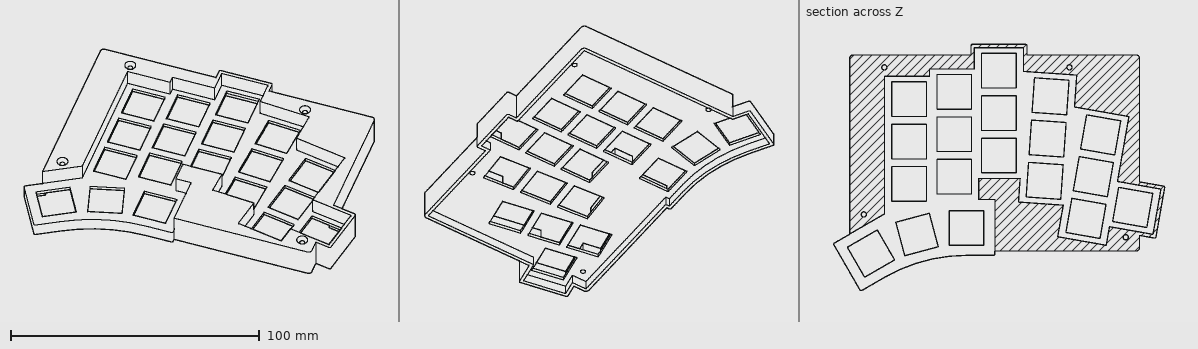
import cadquery as cq
import math

case_height = 12.5
deck_top = 5.6
deck_thickness = 1.5
wall = 1.5

case_width = 116.6
case_depth = 78.9
case_corner_radius = 1.5
small_corner_radius = 0.7

switch_size = 13.8
row_pitch = 17.0
well_width = 19.7
well_depth = 18.4

columns = [
    (24.0, 44.0, 0),
    (42.0, 47.0, 0),
    (60.0, 55.5, 0),
    (79.6, 45.3, -4),
    (98.0, 30.0, -10),
]
middle_column = columns[2]
outer_key = (113.8, 17.6, -10)
column_depth = 2 * row_pitch + well_depth
column_rows = [-row_pitch, 0, row_pitch]
gap_fill_width = 4.0
gap_fill_lift = 13.3

thumb_x = 47.0
thumb_y = 9.3
thumb_arc_radius = 76.8
thumb_step_angle = 15
thumb_fan_angle = 30
thumb_margin = 11.0
thumb_top_margin = 11.5
thumb_inner_end = 11.5
thumb_outer_end = 11.2

screw_positions = [(14.0, 73.9), (88.4, 73.9), (5.7, 14.8), (111.0, 5.6)]
screw_diameter = 2.0
countersink_diameter = 4.4
countersink_angle = 78


def block(width, depth, height, place, shift_x=0, shift_y=0):
    """Box standing on z = 0, shifted in its own frame, then turned and moved to place."""
    x, y, angle = place
    box = cq.Workplane("XY").box(width, depth, height, centered=(True, True, False))
    return box.translate((shift_x, shift_y, 0)).rotate((0, 0, 0), (0, 0, 1), angle).translate((x, y, 0))


def thumb_point(angle, radial, tangential=0):
    """Point by a thumb key: radial is outward from its centre, tangential is to its right."""
    a = math.radians(angle)
    radius = thumb_arc_radius + radial
    x = thumb_x - radius * math.sin(a) + tangential * math.cos(a)
    y = thumb_y - thumb_arc_radius + radius * math.cos(a) + tangential * math.sin(a)
    return x, y


def thumb_plate(height):
    """Fan-shaped plate with an arc below; its slanted upper edge bends up along the first column."""
    upper_left = thumb_point(thumb_fan_angle, thumb_margin, -thumb_outer_end)
    lower_left = thumb_point(thumb_fan_angle, -thumb_margin, -thumb_outer_end)
    lower_right = thumb_point(0, -thumb_margin, thumb_inner_end)
    upper_right = thumb_point(0, thumb_top_margin, thumb_inner_end)
    slope = math.tan(math.radians(thumb_fan_angle))
    bend_x = columns[0][0] - well_width / 2
    bend_y = upper_left[1] + (bend_x - upper_left[0]) * slope
    plate = (
        cq.Workplane("XY")
        .moveTo(*upper_left)
        .lineTo(*lower_left)
        .lineTo(*thumb_point(thumb_fan_angle, -thumb_margin))
        .threePointArc(thumb_point(thumb_fan_angle / 2, -thumb_margin), thumb_point(0, -thumb_margin))
        .lineTo(*lower_right)
        .lineTo(*upper_right)
        .lineTo(bend_x, upper_right[1])
        .lineTo(bend_x, bend_y)
        .close()
        .extrude(height)
    )
    for corner in (upper_left, lower_left, lower_right):
        corner_edge = cq.selectors.NearestToPointSelector((*corner, height / 2))
        plate = plate.edges("|Z").edges(corner_edge).fillet(small_corner_radius)
    return plate


def case_outline(height):
    """Case block with the two walled tabs that stick out around the keys."""
    case = cq.Workplane("XY").box(case_width, case_depth, height, centered=False)
    case = case.edges("|Z").fillet(case_corner_radius)
    back_tab = block(well_width + 2 * wall, column_depth + 2 * wall, height, middle_column)
    side_tab = block(well_width + 2 * wall, well_depth + 2 * wall, height, outer_key)
    for tab in (back_tab, side_tab):
        case = case.union(tab.edges("|Z").fillet(small_corner_radius))
    return case


def key_well(height):
    """Open region above the deck: key columns, outer key and thumb plate."""
    well = thumb_plate(height).union(block(well_width, well_depth, height, outer_key))
    for column in columns:
        well = well.union(block(well_width, column_depth, height, column))
        if column[2] != 0:
            fill_depth = column_depth - gap_fill_lift
            filler = block(well_width, fill_depth, height, column, -gap_fill_width, gap_fill_lift / 2)
            well = well.union(filler)
    return well


def switch_openings():
    """Square openings for all keys, cut through the deck."""
    openings = block(switch_size, switch_size, deck_top, outer_key)
    for column in columns:
        for row in column_rows:
            openings = openings.union(block(switch_size, switch_size, deck_top, column, 0, row))
    for angle in range(0, thumb_fan_angle + 1, thumb_step_angle):
        x, y = thumb_point(angle, 0)
        openings = openings.union(block(switch_size, switch_size, deck_top, (x, y, angle)))
    return openings


base = case_outline(deck_top).union(thumb_plate(deck_top))
surround = case_outline(case_height).cut(key_well(case_height))
body = base.union(surround)

underside = base.faces("<Z").wires().toPending()
cavity = underside.offset2D(-wall, "intersection").extrude(deck_top - deck_thickness, combine=False)

body = body.cut(cavity).cut(switch_openings())

result = (
    body.faces(">Z")
    .workplane(origin=(0, 0, case_height))
    .pushPoints(screw_positions)
    .cskHole(screw_diameter, countersink_diameter, countersink_angle)
)